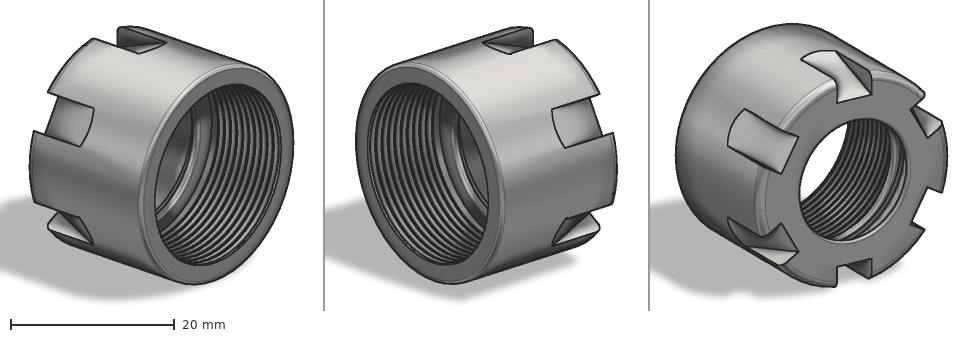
import cadquery as cq
import math

outer_radius = 14.0
length = 19.0
front_fillet = 1.0
rear_fillet = 0.5

slot_count = 6
slot_width = 5.0
slot_length = 8.82
slot_floor_radius = 10.85

mouth_radius = 7.87
mouth_rounding = 0.28
mouth_land = 0.22
cone_half_angle = 30.0
cone_end = 5.1
seat_length = 0.78
rib_length = 1.12
rib_bore_radius = 9.6
rib_offset = 0.5
rib_rounding = 0.35

thread_minor_radius = 11.45
thread_major_radius = 12.0
thread_pitch = 1.0
thread_start = 8.75
relief_end = 8.5
thread_crest = 0.25
thread_root = 0.1
thread_rings = 10

cone_start = mouth_rounding + mouth_land
cone_radius = mouth_radius + (cone_end - cone_start) * math.tan(math.radians(cone_half_angle))
rib_start = cone_end + seat_length
rib_end = rib_start + rib_length


def make_body():
    body = cq.Workplane("YZ").circle(outer_radius).extrude(length)
    body = body.faces("<X").edges().fillet(front_fillet)
    return body.faces(">X").edges().fillet(rear_fillet)


def revolve_about_x(profile):
    return profile.close().revolve(360, (0, 0, 0), (1, 0, 0))


def make_front_bore():
    """Rounded mouth, collet cone and the cylindrical seat in front of the extractor rib."""
    return revolve_about_x(
        cq.Workplane("XY")
        .lineTo(0, mouth_radius + mouth_rounding)
        .radiusArc((mouth_rounding, mouth_radius), -mouth_rounding)
        .lineTo(cone_start, mouth_radius)
        .lineTo(cone_end, cone_radius)
        .lineTo(rib_start, cone_radius)
        .lineTo(rib_start, 0)
    )


def make_rib_bore():
    """Bore through the extractor rib: off-centre, flared by a round lip at both ends."""
    flare_radius = rib_bore_radius + rib_rounding
    bore = revolve_about_x(
        cq.Workplane("XY")
        .moveTo(rib_start, 0)
        .lineTo(rib_start, flare_radius)
        .radiusArc((rib_start + rib_rounding, rib_bore_radius), -rib_rounding)
        .lineTo(rib_end - rib_rounding, rib_bore_radius)
        .radiusArc((rib_end, flare_radius), -rib_rounding)
        .lineTo(rib_end, 0)
    )
    return bore.translate((0, 0, -rib_offset))


def make_thread_bore():
    """Thread relief behind the rib and the thread grooves up to the rear face."""
    flank = (thread_pitch - thread_crest - thread_root) / 2
    profile = (
        cq.Workplane("XY")
        .moveTo(rib_end, 0)
        .lineTo(rib_end, thread_major_radius)
        .lineTo(relief_end, thread_major_radius)
        .lineTo(relief_end, thread_minor_radius)
    )
    for ring in range(thread_rings):
        start = thread_start + ring * thread_pitch
        profile = (
            profile.lineTo(start, thread_minor_radius)
            .lineTo(start + flank, thread_major_radius)
            .lineTo(start + flank + thread_root, thread_major_radius)
            .lineTo(start + 2 * flank + thread_root, thread_minor_radius)
        )
    return revolve_about_x(profile.lineTo(length, thread_minor_radius).lineTo(length, 0))


def make_slot():
    """Wedge whose floor rises from the front face to the outer surface."""
    slope = (outer_radius - slot_floor_radius) / slot_length
    overshoot = slot_length / 4
    wedge_top = outer_radius + overshoot * slope
    return (
        cq.Workplane("XZ")
        .polyline([(0, slot_floor_radius), (slot_length + overshoot, wedge_top), (0, wedge_top)])
        .close()
        .extrude(slot_width / 2, both=True)
    )


result = make_body().cut(make_front_bore()).cut(make_rib_bore()).cut(make_thread_bore())
for index in range(slot_count):
    result = result.cut(make_slot().rotate((0, 0, 0), (1, 0, 0), index * 360 / slot_count))